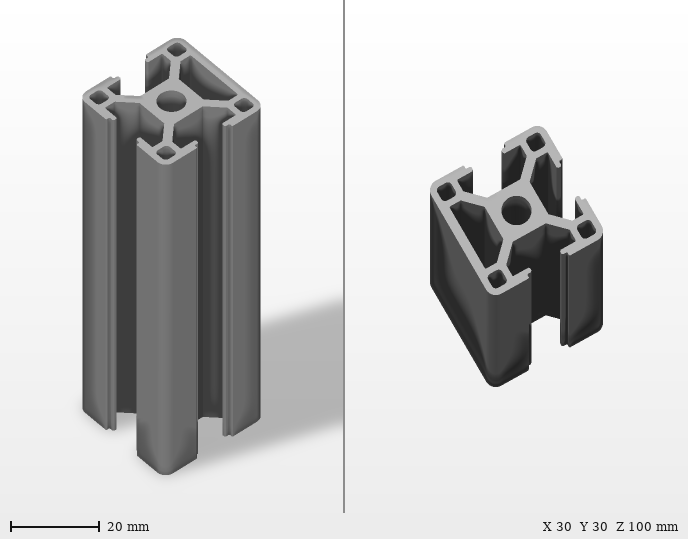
import cadquery as cq
import math

side = 30.0
length = 100.0
outer_radius = 2.5
half_side = side / 2

core_width = 11.7
bore_diameter = 6.8
web_thickness = 2.2
half_core = core_width / 2
web_offset = web_thickness / math.sqrt(2)

wall = 2.2
slot_width = 16.5
slot_corner_radius = 0.3
mouth_width = 7.8
lip_chamfer = 0.3
step_width = 10.4
step_depth = 1.0
step_chamfer = 0.2
half_slot = slot_width / 2
slot_floor = half_side - wall

corner_hole = 3.7
corner_hole_radius = 1.0
corner_hole_offset = 11.6

OPEN_SLOT_ANGLES = (0, 90, -90)
CLOSED_SLOT_ANGLE = 180


def mirrored_prism(right_side):
    """Full-length prism whose outline is the given points and their mirror image in X."""
    left_side = [(-x, y) for x, y in reversed(right_side)]
    return cq.Workplane("XY").polyline(right_side + left_side).close().extrude(length)


def slot_chamber():
    """Hollow between the core, two webs and the -Y wall."""
    chamber = mirrored_prism([
        (half_core - web_offset, -half_core),
        (half_slot, -half_slot - web_offset),
        (half_slot, -slot_floor),
    ])
    return chamber.edges("|Z").edges("<X or >X").fillet(slot_corner_radius)


def slot_mouth():
    """Stepped opening through the -Y wall, with chamfered lip ends and step edges."""
    half_mouth = mouth_width / 2
    half_step = step_width / 2
    lip_outer = half_side - step_depth
    return mirrored_prism([
        (half_step + step_chamfer, -half_side),
        (half_step, -half_side + step_chamfer),
        (half_step, -lip_outer - step_chamfer),
        (half_step - step_chamfer, -lip_outer),
        (half_mouth + lip_chamfer, -lip_outer),
        (half_mouth, -lip_outer + lip_chamfer),
        (half_mouth, -slot_floor - lip_chamfer),
        (half_mouth + lip_chamfer, -slot_floor),
    ])


def turned(body, angle):
    """Turn a body about the extrusion axis."""
    return body.rotate((0, 0, 0), (0, 0, 1), angle)


bar = cq.Workplane("XY").rect(side, side).extrude(length).edges("|Z").fillet(outer_radius)

bore = cq.Workplane("XY").circle(bore_diameter / 2).extrude(length)

corner_holes = (
    cq.Workplane("XY")
    .rect(2 * corner_hole_offset, 2 * corner_hole_offset, forConstruction=True)
    .vertices()
    .rect(corner_hole, corner_hole)
    .extrude(length)
    .edges("|Z")
    .fillet(corner_hole_radius)
)

result = bar.cut(bore).cut(corner_holes)

result = result.cut(turned(slot_chamber(), CLOSED_SLOT_ANGLE))

for angle in OPEN_SLOT_ANGLES:
    result = result.cut(turned(slot_chamber(), angle))
    result = result.cut(turned(slot_mouth(), angle))